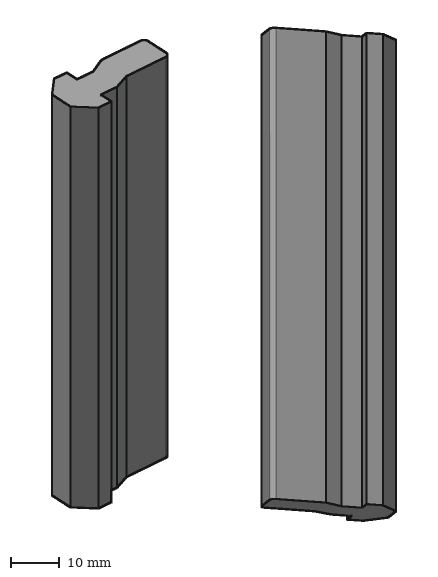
import cadquery as cq

length = 100.0
total_depth = 27.8

head_width = 14.0
head_depth = 7.6
head_chamfer = 4.1

neck_width = 7.5
neck_end = 12.0

blade_start = 16.0
blade_width = 7.9
blade_left = -5.8
blade_fillet = 1.1

half_head = head_width / 2
half_neck = neck_width / 2
half_nose = half_head - head_chamfer
blade_right = blade_left + blade_width

profile = [
    (-half_nose, 0),
    (half_nose, 0),
    (half_head, head_chamfer),
    (half_head, head_depth),
    (half_neck, head_depth),
    (half_neck, neck_end),
    (blade_right, blade_start),
    (blade_right, total_depth),
    (blade_left, total_depth),
    (blade_left, blade_start),
    (-half_neck, neck_end),
    (-half_neck, head_depth),
    (-half_head, head_depth),
    (-half_head, head_chamfer),
]

bar = cq.Workplane("XY").polyline(profile).close().extrude(length)

result = bar.faces(">Y").edges("|Z").fillet(blade_fillet)